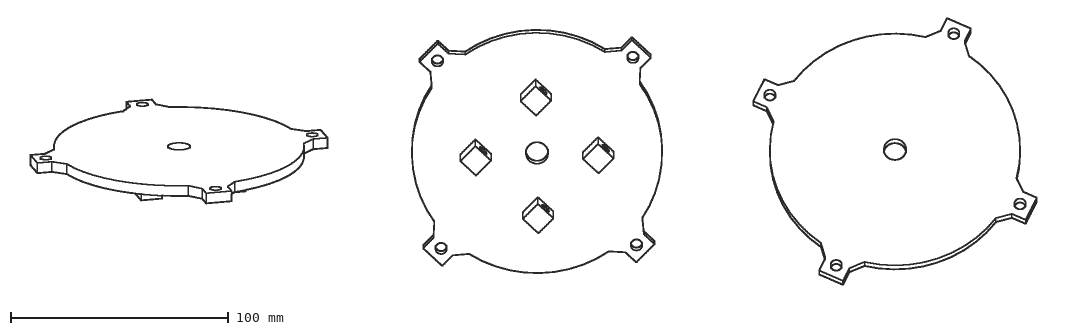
import cadquery as cq
import math

span = 138.4
plate_thickness = 5.0
disc_radius = 57.5
center_hole_diameter = 10.2

tab_width = 12.2
tab_count = 4
tab_side_length = 6.9
flare_root_width = 22.1
tab_hole_diameter = 5.3
tab_hole_radius = 63.5

foot_width = 10.0
foot_height = 11.1
foot_spacing = 39.9
foot_hole_diameter = 4.3
foot_hole_above_base = 5.0


def make_tab(angle):
    """Return one flared tab reaching from the center along the given angle."""
    tip = span / 2
    shoulder = tip - tab_side_length
    half_width = tab_width / 2
    half_root = flare_root_width / 2
    root = math.sqrt(disc_radius**2 - half_root**2)
    outline = [
        (0, 0),
        (root, -half_root),
        (shoulder, -half_width),
        (tip, -half_width),
        (tip, half_width),
        (shoulder, half_width),
        (root, half_root),
    ]
    tab = cq.Workplane("XY").polyline(outline).close().extrude(plate_thickness)
    return tab.rotate((0, 0, 0), (0, 0, 1), angle)


def make_plate():
    """Return the tabbed disc with its center hole and tab holes."""
    plate = cq.Workplane("XY").circle(disc_radius).extrude(plate_thickness)
    for index in range(tab_count):
        plate = plate.union(make_tab(index * 360 / tab_count))
    center_hole = cq.Workplane("XY").circle(center_hole_diameter / 2).extrude(plate_thickness)
    tab_holes = (
        cq.Workplane("XY")
        .polarArray(tab_hole_radius, 0, 360, tab_count)
        .circle(tab_hole_diameter / 2)
        .extrude(plate_thickness)
    )
    return plate.cut(center_hole).cut(tab_holes)


def make_feet():
    """Return the four square feet hanging from the plate, drilled along X."""
    feet = (
        cq.Workplane("XY")
        .rarray(foot_spacing, foot_spacing, 2, 2)
        .rect(foot_width, foot_width)
        .extrude(-foot_height)
    )
    foot_holes = (
        cq.Workplane("YZ")
        .center(0, foot_hole_above_base - foot_height)
        .rarray(foot_spacing, 1.4, 2, 1)
        .circle(foot_hole_diameter / 2)
        .extrude(span / 2, both=True)
    )
    return feet.cut(foot_holes)


result = make_plate().union(make_feet())